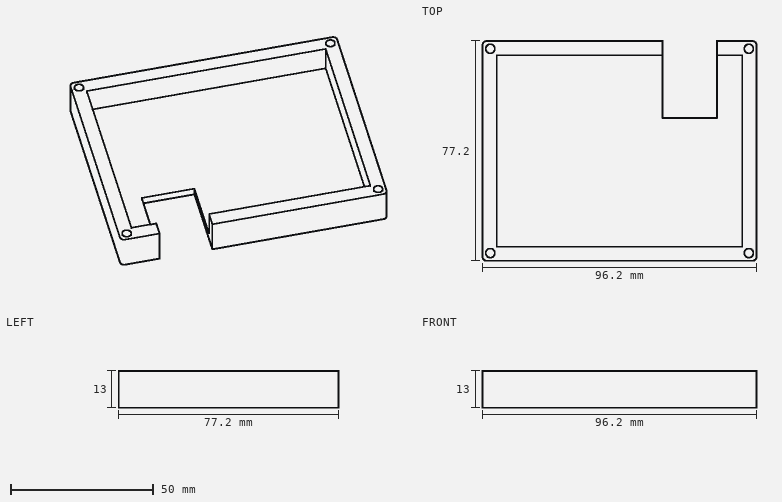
import cadquery as cq

length = 96.22
width = 77.17
height = 13.0
corner_radius = 1.5

wall = 5.0
floor = 3.0

hole_diameter = 3.2
hole_inset = 2.75
hole_depth = height - floor

notch_right_margin = 14.0
notch_width = 19.0
notch_depth = 27.0
notch_left = length - notch_right_margin - notch_width


def tray_body():
    """Block with rounded vertical edges, lower front left corner at the origin."""
    block = cq.Workplane("XY").box(length, width, height, centered=False)
    return block.edges("|Z").fillet(corner_radius)


def cavity():
    """Open-topped rectangular pocket that leaves the walls and floor."""
    return (
        cq.Workplane("XY")
        .box(length - 2 * wall, width - 2 * wall, height - floor, centered=False)
        .translate((wall, wall, floor))
    )


def back_notch():
    """Rectangular opening through the full height, from the back edge inward."""
    return (
        cq.Workplane("XY")
        .box(notch_width, notch_depth, height, centered=False)
        .translate((notch_left, width - notch_depth, 0))
    )


def corner_holes():
    """Blind holes bored down from the rim at the four corners."""
    centres = [
        (x, y)
        for x in (hole_inset, length - hole_inset)
        for y in (hole_inset, width - hole_inset)
    ]
    return (
        cq.Workplane("XY", origin=(0, 0, height))
        .pushPoints(centres)
        .circle(hole_diameter / 2)
        .extrude(-hole_depth)
    )


result = tray_body().cut(cavity()).cut(back_notch()).cut(corner_holes())